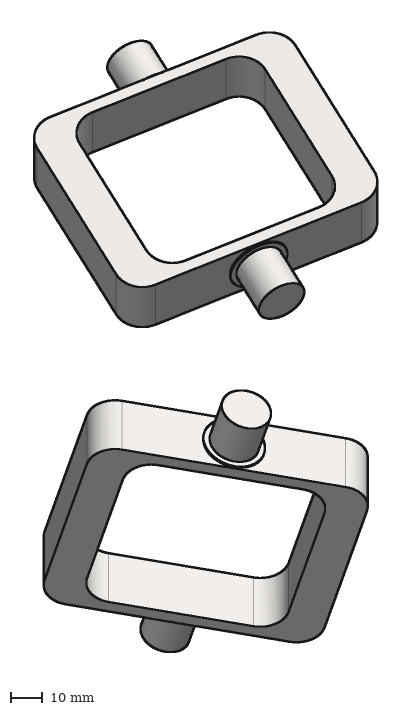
import cadquery as cq

frame_width = 74.0
frame_length = 91.0
frame_height = 21.0
window_side = 65.4
outer_corner_radius = 9.2
window_corner_radius = 9.2

overall_width = 107.0
pin_diameter = 16.0
collar_diameter = 20.0
collar_thickness = 0.5


def rounded_block(width, length, radius):
    """Block of frame height, centred on the origin, with rounded vertical edges."""
    return cq.Workplane("XY").box(width, length, frame_height).edges("|Z").fillet(radius)


def side_cylinder(diameter, reach, side):
    """Cylinder along X, from the frame's side face outwards; side is +1 or -1."""
    return (
        cq.Workplane("YZ")
        .workplane(offset=side * frame_width / 2)
        .circle(diameter / 2)
        .extrude(side * reach)
    )


frame = rounded_block(frame_width, frame_length, outer_corner_radius)
window = rounded_block(window_side, window_side, window_corner_radius)
result = frame.cut(window)

pin_reach = (overall_width - frame_width) / 2
for side in (-1, 1):
    result = result.union(side_cylinder(collar_diameter, collar_thickness, side))
    result = result.union(side_cylinder(pin_diameter, pin_reach, side))